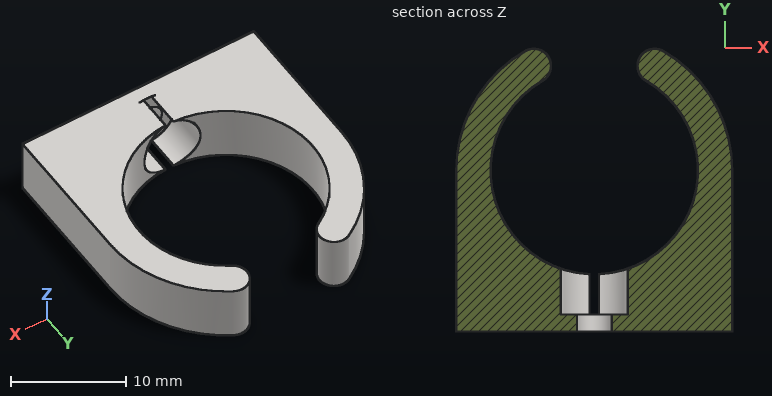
import cadquery as cq
import math

total_length = 24.55
thickness = 5.75
outer_radius = 11.98
wall = 3.0
tip_angle = 30.0
slot_width = 0.8
counterbore_floor = 1.5
screw_hole_diameter = 3.0

inner_radius = outer_radius - wall
tip_radius = wall / 2
middle_radius = outer_radius - tip_radius
tip_center_y = middle_radius * math.cos(math.radians(tip_angle))
base_y = tip_center_y + tip_radius - total_length
counterbore_radius = math.hypot(thickness / 2, slot_width / 2)


def ring_point(radius, side):
    """Point on the tip direction of the arm at side -1 (left) or +1 (right)."""
    angle = math.radians(tip_angle)
    return (side * radius * math.sin(angle), radius * math.cos(angle))


def tip_end(side):
    """Farthest point of the round arm tip, on the opening side."""
    x, y = ring_point(middle_radius, side)
    angle = math.radians(tip_angle)
    return (x - side * tip_radius * math.cos(angle), y + tip_radius * math.sin(angle))


def outer_middle(side):
    """Point halfway along the outer arc of an arm."""
    angle = math.radians((90 + tip_angle) / 2)
    return (side * outer_radius * math.sin(angle), outer_radius * math.cos(angle))


def clip_body():
    return (
        cq.Workplane("XY")
        .moveTo(-outer_radius, base_y)
        .lineTo(outer_radius, base_y)
        .lineTo(outer_radius, 0)
        .threePointArc(outer_middle(1), ring_point(outer_radius, 1))
        .threePointArc(tip_end(1), ring_point(inner_radius, 1))
        .threePointArc((0, -inner_radius), ring_point(inner_radius, -1))
        .threePointArc(tip_end(-1), ring_point(outer_radius, -1))
        .threePointArc(outer_middle(-1), (-outer_radius, 0))
        .close()
        .extrude(thickness)
    )


def counterbore_cutter():
    """Screw head bore along Y, slightly wider than the part, so it opens both flat faces."""
    return (
        cq.Workplane("XZ", origin=(0, 0, thickness / 2))
        .circle(counterbore_radius)
        .extrude(-base_y - counterbore_floor)
    )


def screw_hole_cutter():
    """Hole along Y from the base face into the ring bore."""
    return (
        cq.Workplane("XZ", origin=(0, base_y, thickness / 2))
        .circle(screw_hole_diameter / 2)
        .extrude(base_y)
    )


result = clip_body().cut(counterbore_cutter()).cut(screw_hole_cutter())